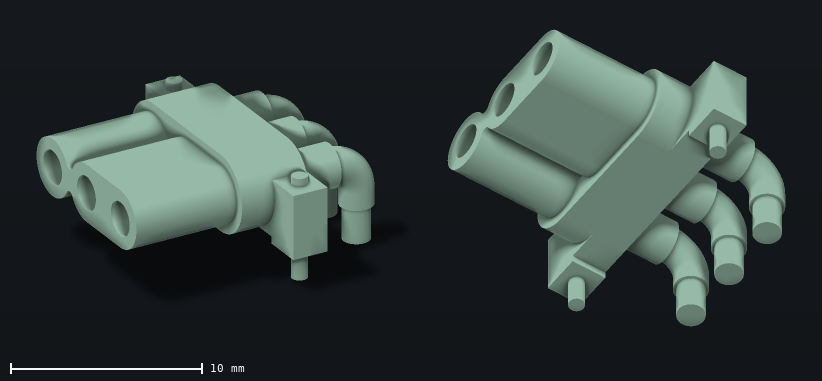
import cadquery as cq
import math

pitch = 3.51
contact_places = (-pitch, 0, pitch)

shell_radius = 2.22
shell_depth = 4.05

plug_radius = 1.67
plug_length = 6.07
neck_fillet = 0.35
socket_diameter = 1.95

collar_diameter = 2.5
collar_length = 2.55
tail_diameter = 1.9
bend_radius = 1.61
sleeve_length = 1.01
tip_diameter = 1.55
tip_bottom = -4.64

ear_span = 15.32
ear_depth = 2.07
ear_top = 1.09
ear_bottom = -2.64
foot_gap = 10.72
peg_diameter = 0.89
peg_spacing = 13.02
peg_top = 1.56
peg_bottom = -4.35

plug_front = -(shell_depth + plug_length)


def make_shell():
    """Stadium-shaped block around all three contacts."""
    width = 2 * (pitch + shell_radius)
    return cq.Workplane("XZ").slot2D(width, 2 * shell_radius).extrude(shell_depth)


def make_plug():
    """Round barrel joined by a filleted neck to a stadium around the other two contacts."""
    middle = -pitch / 2
    fillet_height = math.sqrt((plug_radius + neck_fillet) ** 2 - (pitch / 2) ** 2)
    share = plug_radius / (plug_radius + neck_fillet)
    tangent_offset = pitch / 2 * (1 - share)
    tangent_z = fillet_height * share
    neck_z = fillet_height - neck_fillet
    left, right = middle - tangent_offset, middle + tangent_offset
    mid_angle = (math.pi / 2 + math.atan2(tangent_z, right)) / 2
    mid_x = plug_radius * math.cos(mid_angle)
    mid_z = plug_radius * math.sin(mid_angle)
    return (
        cq.Workplane("XZ", origin=(0, -shell_depth, 0))
        .moveTo(left, tangent_z)
        .threePointArc((middle, neck_z), (right, tangent_z))
        .threePointArc((mid_x, mid_z), (0, plug_radius))
        .lineTo(pitch, plug_radius)
        .threePointArc((pitch + plug_radius, 0), (pitch, -plug_radius))
        .lineTo(0, -plug_radius)
        .threePointArc((mid_x, -mid_z), (right, -tangent_z))
        .threePointArc((middle, -neck_z), (left, -tangent_z))
        .threePointArc((-pitch - plug_radius, 0), (left, tangent_z))
        .close()
        .extrude(plug_length)
    )


def make_sockets():
    """Blind sockets as deep as the plug."""
    return (
        cq.Workplane("XZ", origin=(0, plug_front, 0))
        .pushPoints([(x, 0) for x in contact_places])
        .circle(socket_diameter / 2)
        .extrude(-plug_length)
    )


def make_mount():
    """Cross bar with two downward feet and a vertical peg at each end."""
    bar = cq.Workplane("XY").box(ear_span, ear_depth, ear_top - ear_bottom)
    bar = bar.translate((0, -ear_depth / 2, (ear_top + ear_bottom) / 2))
    gap_height = -shell_radius - ear_bottom
    gap = cq.Workplane("XY").box(foot_gap, ear_depth, gap_height)
    gap = gap.translate((0, -ear_depth / 2, ear_bottom + gap_height / 2))
    pegs = (
        cq.Workplane("XY", origin=(0, -ear_depth / 2, peg_bottom))
        .pushPoints([(-peg_spacing / 2, 0), (peg_spacing / 2, 0)])
        .circle(peg_diameter / 2)
        .extrude(peg_top - peg_bottom)
    )
    return bar.cut(gap).union(pegs)


def make_contact(x):
    """Rear collar and a tail bent down through a right angle."""
    tail_y = collar_length + bend_radius
    collar = cq.Workplane("XZ", origin=(x, 0, 0)).circle(collar_diameter / 2).extrude(-collar_length)
    bend = (
        cq.Workplane("XZ", origin=(x, collar_length, 0))
        .circle(tail_diameter / 2)
        .revolve(90, (0.15, -bend_radius, 0), (-0.15, -bend_radius, 0))
    )
    sleeve = (
        cq.Workplane("XY", origin=(x, tail_y, -bend_radius))
        .circle(tail_diameter / 2)
        .extrude(-sleeve_length)
    )
    tip = (
        cq.Workplane("XY", origin=(x, tail_y, tip_bottom))
        .circle(tip_diameter / 2)
        .extrude(-bend_radius - tip_bottom)
    )
    return collar.union(bend).union(sleeve).union(tip)


result = make_shell().union(make_plug()).union(make_mount())
for contact_x in contact_places:
    result = result.union(make_contact(contact_x))
result = result.cut(make_sockets())